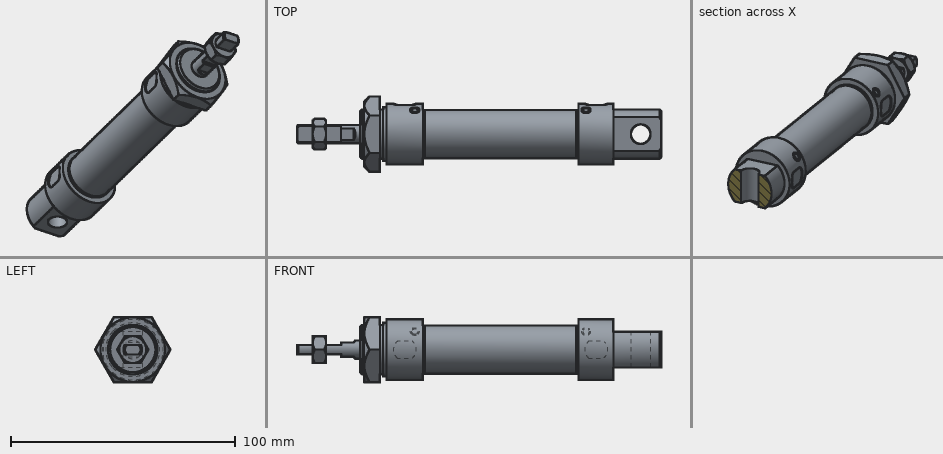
import cadquery as cq
import math

rod_diameter = 8.3
rod_end = 28.0
tip_chamfer = 0.6
tip_flat_thickness = 4.2
tip_flat_end = 19.6
wrench_flat_thickness = 6.5
wrench_flat_end = 25.1

rod_nut_flats = 12.0
rod_nut_start = 7.0
rod_nut_length = 6.0
rod_nut_face_diameter = rod_nut_flats

thread_diameter = 22.0
thread_chamfer = 1.0
mount_nut_flats = 29.0
mount_nut_start = 29.8
mount_nut_length = 7.0
mount_nut_face_diameter = 28.7

shoulder_diameter = 24.0
shoulder_start = 38.2
cap_diameter = 27.0
front_cap_start = 39.7
front_cap_end = 55.9
rear_cap_start = 125.0
rear_cap_end = 140.6
barrel_diameter = 21.5
lip_length = 0.5
barrel_chamfer = 0.5

port_diameter = 10.0
port_depth = 0.57
port_floor_radius = cap_diameter / 2 - port_depth
front_port_x = 48.0
rear_port_x = 133.0
screw_diameter = 4.0
screw_head_diameter = 2.9
screw_groove_depth = 0.2
screw_angle = 53.0
front_screw_x = 52.3
rear_screw_x = 128.5

eye_end = 162.0
eye_thickness = 16.0
eye_diameter = 22.0
eye_chamfer = 1.0
eye_hole_diameter = 8.6
eye_hole_x = 152.8


def cylinder_x(start, end, diameter):
    """Cylinder around the X axis between two X positions."""
    return cq.Workplane("YZ", origin=(start, 0, 0)).circle(diameter / 2).extrude(end - start)


def centred_box(start, end, width, height):
    """Box around the X axis between two X positions."""
    return cq.Workplane("YZ", origin=(start, 0, 0)).rect(width, height).extrude(end - start)


def hex_nut(start, length, flats, face_diameter, both_faces):
    """Hexagonal nut around the X axis whose corners are bevelled at 45 degrees."""
    corners = flats / math.cos(math.pi / 6)
    bevel = (corners - face_diameter) / 2
    nut = cq.Workplane("YZ", origin=(start, 0, 0)).polygon(6, corners).extrude(length)
    bevelled_faces = "<X or >X" if both_faces else "<X"
    envelope = cylinder_x(start, start + length, corners).faces(bevelled_faces).chamfer(bevel)
    return nut.intersect(envelope)


def make_piston_rod():
    tip_round = cylinder_x(0, tip_flat_end, rod_diameter).faces("<X").chamfer(tip_chamfer)
    tip = tip_round.intersect(centred_box(0, tip_flat_end, rod_diameter, tip_flat_thickness))
    shank = cylinder_x(tip_flat_end, rod_end, rod_diameter)
    runout = (rod_diameter - wrench_flat_thickness) / 2
    flat_profile = (
        cq.Workplane("XZ")
        .moveTo(tip_flat_end, 0)
        .lineTo(tip_flat_end, wrench_flat_thickness / 2)
        .lineTo(wrench_flat_end, wrench_flat_thickness / 2)
        .lineTo(wrench_flat_end + runout, rod_diameter / 2)
        .lineTo(rod_end, rod_diameter / 2)
        .lineTo(rod_end, 0)
        .close()
        .extrude(rod_diameter / 2, both=True)
    )
    flats = flat_profile.union(flat_profile.mirror("XY"))
    nut = hex_nut(rod_nut_start, rod_nut_length, rod_nut_flats, rod_nut_face_diameter, True)
    return tip.union(shank.intersect(flats)).union(nut)


def make_barrel():
    """Tube between the caps; its bevelled ends leave a fine groove beside a lip on each cap."""
    barrel_start = front_cap_end + lip_length
    barrel_end = rear_cap_start - lip_length
    barrel = cylinder_x(barrel_start, barrel_end, barrel_diameter).faces("<X or >X").chamfer(barrel_chamfer)
    barrel = barrel.union(cylinder_x(front_cap_end, barrel_start, barrel_diameter))
    return barrel.union(cylinder_x(barrel_end, rear_cap_start, barrel_diameter))


def make_eye():
    """Flattened rear lug with a cross hole along Z."""
    lug = cylinder_x(rear_cap_end, eye_end, eye_diameter).faces(">X").chamfer(eye_chamfer)
    lug = lug.intersect(centred_box(rear_cap_end, eye_end, eye_diameter, eye_thickness))
    hole = (
        cq.Workplane("XY", origin=(eye_hole_x, 0, 0))
        .circle(eye_hole_diameter / 2)
        .extrude(eye_thickness / 2, both=True)
    )
    return lug.cut(hole)


def radial_bore(x, diameter, floor_radius, angle_from_z):
    """Cutter for a bore into a cap, its axis tilted from +Z towards +Y."""
    cutter = cq.Workplane("XY", origin=(x, 0, floor_radius)).circle(diameter / 2).extrude(cap_diameter)
    return cutter.rotate((0, 0, 0), (1, 0, 0), -angle_from_z)


def screw_groove(x):
    """Cutter for the shallow ring that outlines a cushion screw, its floor following the cap."""
    head = radial_bore(x, screw_head_diameter, 0, screw_angle)
    ring = radial_bore(x, screw_diameter, 0, screw_angle).cut(head)
    core = cylinder_x(front_cap_start, rear_cap_end, cap_diameter - 2 * screw_groove_depth)
    return ring.cut(core)


def make_cylinder():
    body = cylinder_x(rod_end, shoulder_start, thread_diameter).faces("<X").chamfer(thread_chamfer)
    body = body.union(
        hex_nut(mount_nut_start, mount_nut_length, mount_nut_flats, mount_nut_face_diameter, False)
    )
    body = body.union(cylinder_x(shoulder_start, front_cap_start, shoulder_diameter))
    body = body.union(cylinder_x(front_cap_start, front_cap_end, cap_diameter))
    body = body.union(make_barrel())
    body = body.union(cylinder_x(rear_cap_start, rear_cap_end, cap_diameter))
    body = body.union(make_eye())
    for port_x in (front_port_x, rear_port_x):
        body = body.cut(radial_bore(port_x, port_diameter, port_floor_radius, 90))
    for screw_x in (front_screw_x, rear_screw_x):
        body = body.cut(screw_groove(screw_x))
    return body


piston_rod = make_piston_rod()
cylinder = make_cylinder()

result = cq.Compound.makeCompound([piston_rod.val(), cylinder.val()])